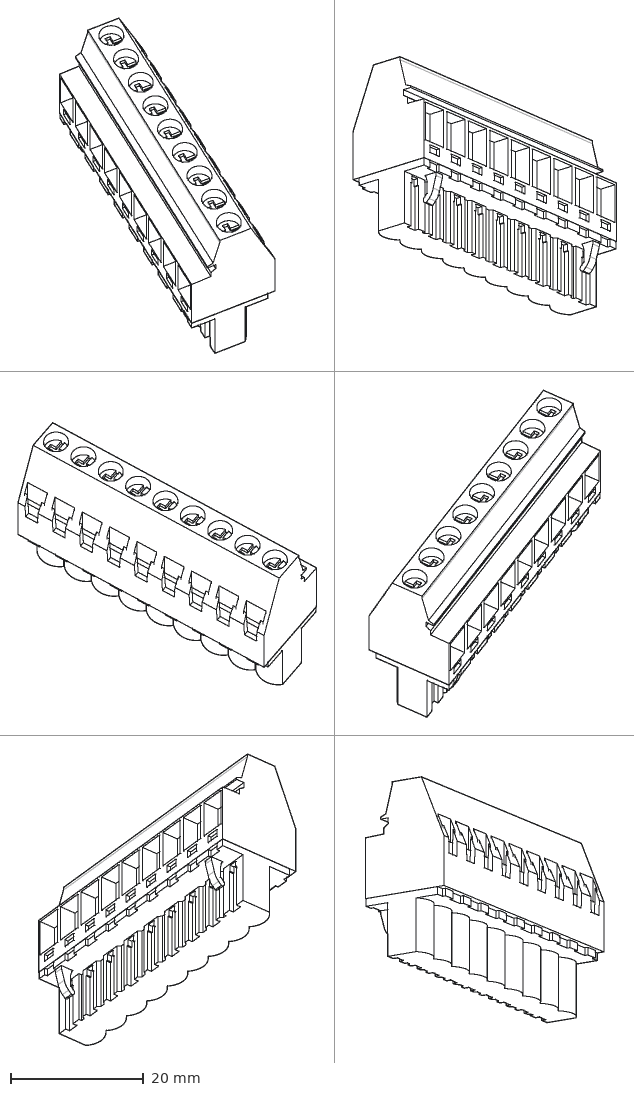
import cadquery as cq

pole_count = 9
pitch = 5.0
housing_length = pole_count * pitch
first_pole = pitch / 2
pole_positions = [first_pole + i * pitch for i in range(pole_count)]
cut_margin = 1.0

total_height = 27.2
base_top = 9.6
base_bottom = 8.4

body_depth = 14.05
back_wall_top = 17.4
top_front = 4.75
top_back = 10.0
brow_bottom = 26.7
lip_root = (3.62, 22.35)
lip_tip = 2.68
lip_tip_top = 21.95
lip_bottom = 21.65
groove_back = 4.07
groove_bottom = 20.75
step_front = 3.25
step_top = 20.2
ledge_back_height = 19.25
ledge_front_height = 19.13

base_inset = 0.05
base_right = housing_length - base_inset
base_back = 12.88
key_width = 2.1
key_depth = 0.54

entry_width = 4.2
entry_bottom = 12.6
entry_top = 18.7
entry_depth = 2.75
test_slot_width = 2.15
test_slot_bottom = 10.85
test_slot_top = 12.1
test_slot_depth = 0.6

well_width = 3.6
well_front = 12.48
well_back = 13.24
well_floor = 17.2
pocket_floor = 15.0
pocket_floor_width = 2.15
pocket_top_width = 2.6

tongue_front = 3.93
tongue_back = 9.03
back_bulge = 1.02
groove_floor_half_width = 0.41
groove_half_width = 0.82
groove_depth = 0.5
end_block_inset = 0.14
contact_slot_width = 1.76
contact_slot_depth = 0.75
contact_slot_top = 7.05
contact_tip_width = 1.35
contact_tip_top = 8.15

hook_width = 1.5
hook_start = 3.42
hook_front_root = (0.5, base_bottom)
hook_front_edge = (0.54, 7.86)
hook_outer_bend_start = (1.08, 5.96)
hook_outer_bend_middle = (1.38, 5.13)
hook_outer_bend_end = (1.9, 4.47)
hook_tip_start = (2.42, 3.95)
hook_tip_middle = (2.95, 4.2)
hook_tip_end = (2.8, 4.95)
hook_back = 2.3
hook_catch_height = 5.42
hook_fillet_start = 7.32
hook_fillet_middle = (2.42, 7.85)
hook_back_root = (2.71, base_bottom)

screw_diameter = 3.75
screw_y = 7.5
screw_length = 2.5
screw_recess = 1.95
long_slot_width = 0.55
cross_slot_width = 0.82
cross_slot_length = 2.5
drive_depth = 0.6
screw_top = total_height - screw_recess
screw_bottom = screw_top - screw_length


def block(x0, x1, y0, y1, z0, z1):
    """Box between two corners."""
    return cq.Workplane("XY").box(x1 - x0, y1 - y0, z1 - z0, centered=False).translate((x0, y0, z0))


def centred_block(x, width, y0, y1, z0, z1):
    """Box centred on a pole along X."""
    return block(x - width / 2, x + width / 2, y0, y1, z0, z1)


def extrude_section(outline, x0, length):
    """Closed Y-Z outline carried along X."""
    return outline.close().extrude(length).translate((x0, 0, 0))


def make_body():
    outline = cq.Workplane("YZ").polyline([
        (0, base_top),
        (body_depth, base_top),
        (body_depth, back_wall_top),
        (top_back, total_height),
        (top_front, total_height),
        (top_front, brow_bottom),
        lip_root,
        (lip_tip, lip_tip_top),
        (lip_tip, lip_bottom),
        (groove_back, lip_bottom),
        (groove_back, groove_bottom),
        (step_front, step_top),
        (step_front, ledge_back_height),
        (0, ledge_front_height),
    ])
    return extrude_section(outline, 0, housing_length)


def make_base():
    base = block(base_inset, base_right, base_inset, base_back, base_bottom, base_top)
    for x in pole_positions:
        base = base.cut(centred_block(x, key_width, -cut_margin, key_depth, base_bottom, base_top))
        rib = centred_block(x, key_width, base_back, base_back + key_depth, base_bottom, base_top)
        base = base.union(rib)
    return base


def make_groove(centre, left_is_end, right_is_end):
    """V-sided groove between two poles; the side next to an end pole is upright and closer in."""
    floor_y = tongue_front + groove_depth
    left_mouth = left_floor = centre - end_block_inset
    right_mouth = right_floor = centre + end_block_inset
    if not left_is_end:
        left_mouth = centre - groove_half_width
        left_floor = centre - groove_floor_half_width
    if not right_is_end:
        right_mouth = centre + groove_half_width
        right_floor = centre + groove_floor_half_width
    outline = cq.Workplane("XY").polyline([
        (left_mouth, tongue_front),
        (left_floor, floor_y),
        (right_floor, floor_y),
        (right_mouth, tongue_front),
    ])
    return outline.close().extrude(base_bottom)


def make_tongue():
    tongue = block(base_inset, base_right, tongue_front, tongue_back, 0, base_bottom)
    bulge_half_width = first_pole - base_inset
    for x in pole_positions:
        bulge = (
            cq.Workplane("XY")
            .moveTo(x - bulge_half_width, tongue_back)
            .threePointArc((x, tongue_back + back_bulge), (x + bulge_half_width, tongue_back))
            .close()
            .extrude(base_bottom)
        )
        tongue = tongue.union(bulge)
    slot_y = (tongue_front - cut_margin, tongue_front + contact_slot_depth)
    for x in pole_positions:
        tongue = tongue.cut(centred_block(x, contact_slot_width, *slot_y, 0, contact_slot_top))
        tongue = tongue.cut(centred_block(x, contact_tip_width, *slot_y, 0, contact_tip_top))
    for i in range(1, pole_count):
        centre = first_pole + (i - 0.5) * pitch
        tongue = tongue.cut(make_groove(centre, i == 1, i == pole_count - 1))
    return tongue


def make_hook(x0):
    """Latch hook hanging under the base, curving back towards the tongue."""
    outline = (
        cq.Workplane("YZ")
        .moveTo(*hook_front_root)
        .lineTo(*hook_front_edge)
        .lineTo(*hook_outer_bend_start)
        .threePointArc(hook_outer_bend_middle, hook_outer_bend_end)
        .lineTo(*hook_tip_start)
        .threePointArc(hook_tip_middle, hook_tip_end)
        .lineTo(hook_back, hook_catch_height)
        .lineTo(hook_back, hook_fillet_start)
        .threePointArc(hook_fillet_middle, hook_back_root)
    )
    return extrude_section(outline, x0, hook_width)


def make_entries(x):
    """Wire entry and the small test slot under it."""
    entry = centred_block(x, entry_width, -cut_margin, entry_depth, entry_bottom, entry_top)
    test_slot = centred_block(
        x, test_slot_width, -cut_margin, test_slot_depth, test_slot_bottom, test_slot_top
    )
    return entry.union(test_slot)


def back_slope_height(y):
    """Height of the sloped back face at a given Y."""
    return back_wall_top + (body_depth - y) * (total_height - back_wall_top) / (body_depth - top_back)


def make_back_recess(x):
    """Narrow well in the back slope, with a deeper flared pocket running from it out of the back."""
    well_top = back_slope_height(well_front)
    pocket_top = back_slope_height(well_back)
    well = centred_block(x, well_width, well_front, well_back, well_floor, well_top)
    pocket = (
        cq.Workplane("XZ")
        .polyline([
            (x - pocket_floor_width / 2, pocket_floor),
            (x + pocket_floor_width / 2, pocket_floor),
            (x + pocket_top_width / 2, pocket_top),
            (x - pocket_top_width / 2, pocket_top),
        ])
        .close()
        .extrude(well_back - body_depth - cut_margin)
        .translate((0, well_back, 0))
    )
    return well.union(pocket)


def make_screw_cylinder(x, length):
    """Upright cylinder on the screw axis of one pole, starting at the screw's lower end."""
    circle = cq.Workplane("XY").center(x, screw_y).circle(screw_diameter / 2)
    return circle.extrude(length).translate((0, 0, screw_bottom))


def make_housing():
    housing = make_body().union(make_base()).union(make_tongue())
    for x0 in (hook_start, housing_length - hook_start - hook_width):
        housing = housing.union(make_hook(x0))
    for x in pole_positions:
        housing = housing.cut(make_entries(x))
        housing = housing.cut(make_back_recess(x))
        housing = housing.cut(make_screw_cylinder(x, total_height - screw_bottom))
    return housing


def make_screw(x):
    """Plain cylinder with a cross drive: a slot right across and a shorter, wider one."""
    screw = make_screw_cylinder(x, screw_length)
    drive_bottom = screw_top - drive_depth
    long_slot = centred_block(
        x, long_slot_width, screw_y - screw_diameter, screw_y + screw_diameter, drive_bottom, screw_top
    )
    cross_slot = centred_block(
        x, cross_slot_length, screw_y - cross_slot_width / 2, screw_y + cross_slot_width / 2,
        drive_bottom, screw_top
    )
    return screw.cut(long_slot).cut(cross_slot)


housing = make_housing()
screws = [make_screw(x) for x in pole_positions]

result = cq.Compound.makeCompound([housing.val(), *[screw.val() for screw in screws]])